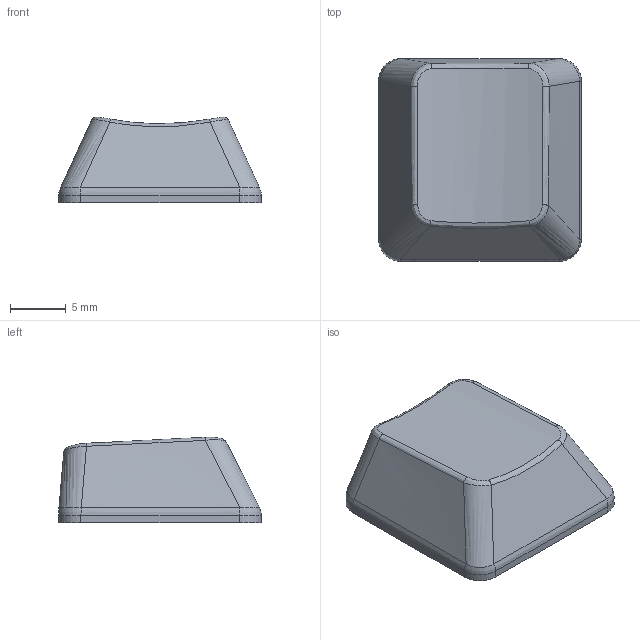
import cadquery as cq
import math

base_size = 18.16
base_corner_radius = 2.0
lip_height = 0.65
bend_height = 0.72
front_corner_radius = 1.75

top_tilt = 3.0
blank_height = 8.5
blank_width = 11.1
blank_front = -5.15
blank_back = 8.48

dish_radius = 24.0
dish_floor_height = 6.80
rim_round_radius = 0.5

tilt_slope = math.tan(math.radians(top_tilt))


def edge_taper(inset, edge_y):
    """Inward travel per unit of height for a wall whose top edge is at edge_y."""
    wall_rise = blank_height - tilt_slope * edge_y - lip_height - bend_height / 2
    return inset / wall_rise


def rounded_outline(width, length, front_radius):
    """Centered rectangle with its own radius on the front corners."""
    outline = cq.Sketch().rect(width, length)
    outline = outline.vertices("<Y").fillet(front_radius).reset()
    return outline.vertices(">Y").fillet(base_corner_radius).reset()


def section(height, travel):
    """Rounded level outline whose sides have leaned in over a height of travel."""
    half = base_size / 2
    middle_y = (blank_front + blank_back) / 2
    side_inset = travel * edge_taper(half - blank_width / 2, middle_y)
    front_inset = travel * edge_taper(half + blank_front, blank_front)
    back_inset = travel * edge_taper(half - blank_back, blank_back)

    width = base_size - 2 * side_inset
    length = base_size - front_inset - back_inset
    shift = (front_inset - back_inset) / 2
    bend_share = travel / (bend_height / 2)
    front_radius = base_corner_radius + (front_corner_radius - base_corner_radius) * bend_share
    outline = rounded_outline(width, length, front_radius)
    return outline.moved(cq.Location(cq.Vector(0, shift, height)))


def blank_top_section():
    """Tilted rounded outline at the upper end of the walls."""
    length = (blank_back - blank_front) / math.cos(math.radians(top_tilt))
    middle_y = (blank_front + blank_back) / 2
    middle_z = blank_height - tilt_slope * middle_y
    outline = rounded_outline(blank_width, length, front_corner_radius)
    return outline.moved(cq.Location(cq.Vector(0, middle_y, middle_z), cq.Vector(1, 0, 0), -top_tilt))


def make_body():
    """Upright lip, a curved bend, and four walls leaning in by different amounts."""
    bend_travel = bend_height / 2
    bend_start = section(lip_height, 0)
    bend_middle = section(lip_height + bend_height / 2, bend_travel / 4)
    bend_end = section(lip_height + bend_height, bend_travel)

    lip = cq.Workplane("XY").placeSketch(bend_start).extrude(-lip_height)
    bend = cq.Workplane("XY").placeSketch(bend_start, bend_middle, bend_end).loft()
    walls = cq.Workplane("XY").placeSketch(bend_end, blank_top_section()).loft()
    return lip.union(bend).union(walls)


def make_dish_cutter():
    """Long cylinder whose lowest line forms the floor of the dish."""
    tilt = math.radians(top_tilt)
    axis = cq.Vector(0, math.cos(tilt), -math.sin(tilt))
    normal = cq.Vector(0, math.sin(tilt), math.cos(tilt))
    cutter_length = 3 * base_size
    axis_middle = cq.Vector(0, 0, dish_floor_height) + normal * dish_radius
    start = axis_middle - axis * (cutter_length / 2)
    return cq.Workplane(cq.Solid.makeCylinder(dish_radius, cutter_length, start, axis))


def round_rim(body):
    """Round the rim between the dish and the walls."""
    return body.faces(">Z").edges().fillet(rim_round_radius)


body = make_body().cut(make_dish_cutter())
result = round_rim(body)